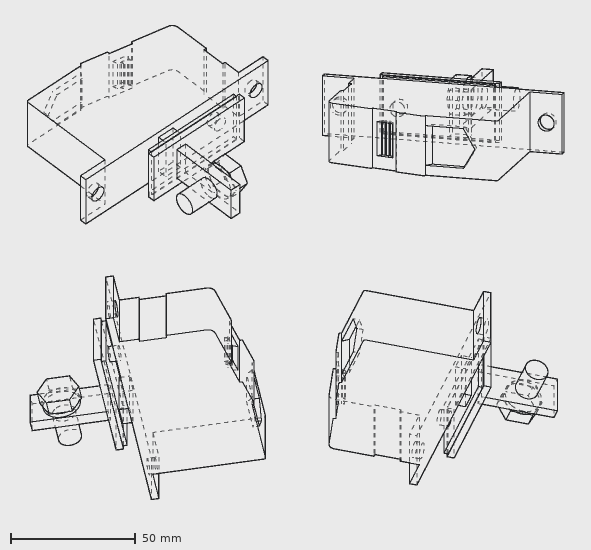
import cadquery as cq
import math


flange_length = 100.7
flange_thickness = 3.1
width = 25.0
flange_hole_diameter = 6.6
flange_hole_spacing = 87.3
housing_top_y = 37.0
housing_bottom_y = -36.9
flat_face_x = -49.4
side_notch_depth = 1.2
side_notch_start_x = -22.3
side_notch_end_x = -11.2

nose_x = -50.6
nose_y = -6.4
slope_angle = 11.8
middle_step_bottom_y = 6.3
middle_step_top_y = 17.1
middle_step_depth = 1.1
top_corner_radius = 3.1
bottom_corner_radius = 0.8
nose_radius = 0.9
step_corner_radius = 0.6
upper_step_corner_radius = 0.4

window_height = 14.2
window_top_y = 15.0
window_bottom_y = 8.1
window_depth = 2.0
window_top_wall_run = 1.2
serration_count = 3
serration_pitch = 1.7
serration_width = 0.6
serration_depth = 1.3

arrow_height = 16.6
arrow_shoulder_y = -22.5
arrow_tip_y = -27.3
arrow_depth = 2.6
arrow_top_wall_run = 2.0

plate_gap = 4.2
plate_center_y = 3.7
inner_plate_size = (1.8, 47.0, 24.0)
outer_plate_size = (3.0, 50.0, 24.6)
pin_diameter = 6.2
pin_y = 19.7
block_length = 8.0
block_height = 19.1
block_y = -6.1

tab_end_x = 41.1
tab_thickness = 4.8
tab_height = 16.0
tab_top_y = -3.7
bolt_x = 28.1
shank_diameter = 9.6
shank_end_y = -22.2
washer_diameter = 15.3
washer_thickness = 2.0
head_thickness = 6.3
head_corner_width = 17.1
head_flat_length = 9.5
head_height = 14.3

slope = math.tan(math.radians(slope_angle))

flat_face_top_y = nose_y - slope * (flat_face_x - nose_x)

outer_plate_x = plate_gap + inner_plate_size[0]
tab_start_x = outer_plate_x + outer_plate_size[0]


def front_x(y, depth=0.0):
    """X of the sloped front at height y, a given depth behind the outermost slope."""
    return nose_x + slope * (y - nose_y) + depth


def slab(x_start, size, center_y):
    """Box starting at x_start, centred on center_y and on the mid-plane."""
    return cq.Workplane("XY").box(*size, centered=(False, True, True)).translate((x_start, center_y, 0))


def extrude_outline(points, height):
    """Closed XY outline extruded evenly about the mid-plane."""
    return cq.Workplane("XY").polyline(points).close().extrude(height / 2, both=True)


def rod(diameter, y_start, y_end):
    """Cylinder along Y on the bolt axis."""
    start_plane = cq.Workplane("XZ", origin=(bolt_x, y_start, 0))
    return start_plane.circle(diameter / 2).extrude(y_start - y_end)


def make_housing():
    riser_drop = slope * middle_step_depth
    notch_floor_y = housing_top_y - side_notch_depth
    middle_top = (front_x(middle_step_top_y, middle_step_depth), middle_step_top_y)
    middle_bottom = (front_x(middle_step_bottom_y, middle_step_depth), middle_step_bottom_y)
    upper_end = (front_x(middle_step_top_y + riser_drop), middle_step_top_y + riser_drop)
    lower_start = (front_x(middle_step_bottom_y + riser_drop), middle_step_bottom_y + riser_drop)
    nose = (nose_x, nose_y)
    top_corner = (front_x(housing_top_y), housing_top_y)
    bottom_corner = (flat_face_x, housing_bottom_y)
    outline = [
        (0, housing_bottom_y),
        bottom_corner,
        (flat_face_x, flat_face_top_y),
        nose,
        lower_start,
        middle_bottom,
        middle_top,
        upper_end,
        top_corner,
        (side_notch_start_x, housing_top_y),
        (side_notch_start_x, notch_floor_y),
        (side_notch_end_x, notch_floor_y),
        (side_notch_end_x, housing_top_y),
        (0, housing_top_y),
    ]
    housing = extrude_outline(outline, width)
    rounded_corners = [
        (top_corner, top_corner_radius),
        (bottom_corner, bottom_corner_radius),
        (nose, nose_radius),
        (lower_start, step_corner_radius),
        (upper_end, upper_step_corner_radius),
    ]
    for (x, y), radius in rounded_corners:
        corner_edge = cq.selectors.NearestToPointSelector((x, y, 0))
        housing = housing.edges(corner_edge).fillet(radius)
    return housing


def make_flange():
    flange = slab(-flange_thickness, (flange_thickness, flange_length, width), 0)
    hole_places = [(-flange_hole_spacing / 2, 0), (flange_hole_spacing / 2, 0)]
    holes = cq.Workplane("YZ").pushPoints(hole_places).circle(flange_hole_diameter / 2)
    return flange.cut(holes.extrude(-flange_thickness))


def make_window():
    """Slider window: sloping top wall, then a floor cut by sawtooth serrations."""
    surface = middle_step_depth
    floor = surface + window_depth
    floor_top_y = window_top_y - window_top_wall_run
    outline = [(front_x(window_top_y, surface), window_top_y)]
    for index in range(serration_count):
        tooth_y = floor_top_y - index * serration_pitch
        tooth_end_y = tooth_y - serration_width
        outline.append((front_x(tooth_y, floor), tooth_y))
        outline.append((front_x(tooth_y, floor + serration_depth), tooth_y))
        outline.append((front_x(tooth_end_y, floor), tooth_end_y))
    floor_bottom_y = window_bottom_y + serration_width
    outline.append((front_x(floor_bottom_y, floor), floor_bottom_y))
    outline.append((front_x(window_bottom_y, surface), window_bottom_y))
    return extrude_outline(outline, window_height)


def make_arrow_pocket():
    """Five-sided pocket in the flat face, its top wall leaning inwards."""
    half = arrow_height / 2
    arrow = (
        cq.Workplane("YZ", origin=(flat_face_x, 0, 0))
        .polyline([
            (flat_face_top_y, -half),
            (arrow_shoulder_y, -half),
            (arrow_tip_y, 0),
            (arrow_shoulder_y, half),
            (flat_face_top_y, half),
        ])
        .close()
        .extrude(arrow_depth)
    )
    leaning_wall = extrude_outline(
        [
            (flat_face_x, flat_face_top_y),
            (flat_face_x + arrow_depth, flat_face_top_y),
            (flat_face_x + arrow_depth, flat_face_top_y - arrow_top_wall_run),
        ],
        arrow_height,
    )
    return arrow.cut(leaning_wall)


def make_terminal_plates():
    inner_plate = slab(plate_gap, inner_plate_size, plate_center_y)
    outer_plate = slab(outer_plate_x, outer_plate_size, plate_center_y)
    block = slab(0, (plate_gap, block_length, block_height), block_y)
    pin = cq.Workplane("YZ").center(pin_y, 0).circle(pin_diameter / 2).extrude(plate_gap)
    return inner_plate.union(outer_plate).union(block).union(pin)


def make_tab():
    tab_size = (tab_end_x - tab_start_x, tab_thickness, tab_height)
    return slab(tab_start_x, tab_size, tab_top_y - tab_thickness / 2)


def make_bolt():
    washer_top_y = tab_top_y + washer_thickness
    head_top_y = washer_top_y + head_thickness
    shank = rod(shank_diameter, tab_top_y, shank_end_y)
    washer = rod(washer_diameter, washer_top_y, tab_top_y)
    corner = head_corner_width / 2
    flat = head_flat_length / 2
    half = head_height / 2
    head = (
        cq.Workplane("XZ", origin=(bolt_x, head_top_y, 0))
        .polyline([(corner, 0), (flat, half), (-flat, half), (-corner, 0), (-flat, -half), (flat, -half)])
        .close()
        .extrude(head_thickness)
    )
    return shank.union(washer).union(head)


housing = make_housing().union(make_flange())
housing = housing.cut(make_window()).cut(make_arrow_pocket())
result = housing.union(make_terminal_plates()).union(make_tab()).union(make_bolt())